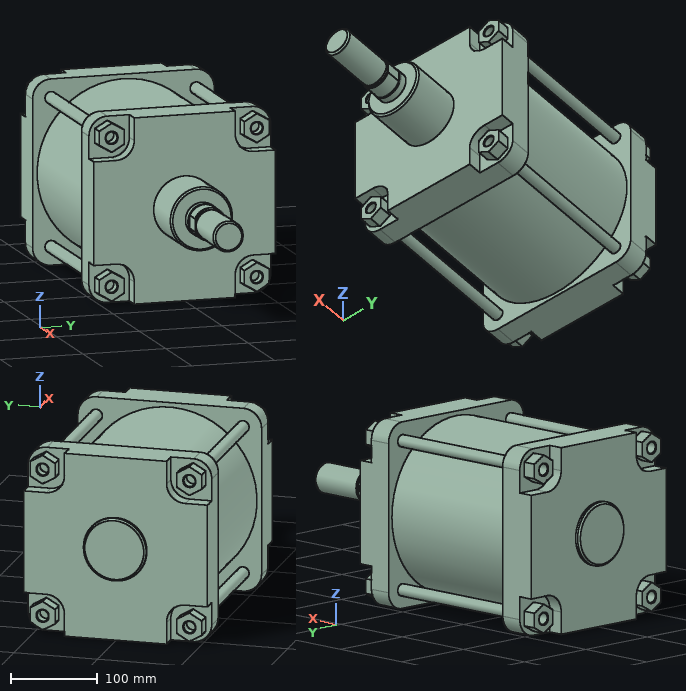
import cadquery as cq
import math


CAP_SIZE = 220.0
CAP_THICKNESS = 46.5
REAR_CAP_X = 5.5
TIE_ROD_OFFSET = 88.0
CORNER_RADIUS = CAP_SIZE / 2 - TIE_ROD_OFFSET

POCKET_DEPTH = 18.5
POCKET_SIZE = 49.0
POCKET_RADIUS = 22.0

BARREL_RADIUS = 104.5
BARREL_LENGTH = 186.5
BARREL_X = REAR_CAP_X + CAP_THICKNESS
FRONT_CAP_X = BARREL_X + BARREL_LENGTH
FRONT_FACE_X = FRONT_CAP_X + CAP_THICKNESS

BOSS_RADIUS = 37.5
BOSS_CHAMFER = 2.3
BOSS_END_X = 351.0

TIE_ROD_RADIUS = 7.2
NUT_ACROSS_FLATS = 30.0
NUT_THICKNESS = 16.8
NUT_HOLE_RADIUS = 7.0
NUT_HOLE_DEPTH = 13.5
NUT_HOLE_CHAMFER = 1.0

ROD_END_X = 453.0
ROD_RADIUS = 20.0
SHANK_END_X = 361.5
SHANK_CHAMFER_LENGTH = 1.5
FLATS_RADIUS = 19.5
FLATS_END_X = 381.0
FLATS_WIDTH = 36.0
THREAD_START_X = 383.5
THREAD_RADIUS = 18.0
THREAD_START_CHAMFER = 1.0
THREAD_END_CHAMFER = 2.3
RELIEF_RADIUS = 17.0


def cylinder_x(start_x, end_x, radius):
    """Solid cylinder on the X axis."""
    return cq.Workplane("YZ", origin=(start_x, 0, 0)).circle(radius).extrude(end_x - start_x)


def make_cap(inner_x, outer_x):
    """Square cap with rounded corners, tie rod holes and nut pockets in its outer face."""
    outward = 1 if outer_x > inner_x else -1
    cap = (
        cq.Workplane("YZ", origin=(inner_x, 0, 0))
        .rect(CAP_SIZE, CAP_SIZE)
        .extrude(outer_x - inner_x)
        .edges("|X")
        .fillet(CORNER_RADIUS)
    )
    pockets = (
        cq.Workplane("YZ", origin=(outer_x, 0, 0))
        .rect(CAP_SIZE, CAP_SIZE, forConstruction=True)
        .vertices()
        .rect(2 * POCKET_SIZE, 2 * POCKET_SIZE)
        .extrude(-outward * POCKET_DEPTH)
        .edges("|X")
        .fillet(POCKET_RADIUS)
    )
    holes = (
        cq.Workplane("YZ", origin=(inner_x, 0, 0))
        .rect(2 * TIE_ROD_OFFSET, 2 * TIE_ROD_OFFSET, forConstruction=True)
        .vertices()
        .circle(TIE_ROD_RADIUS)
        .extrude(outer_x - inner_x)
    )
    return cap.cut(pockets).cut(holes)


def make_rear_cap():
    spigot = cylinder_x(0, REAR_CAP_X, BOSS_RADIUS).faces("<X").chamfer(BOSS_CHAMFER)
    return make_cap(BARREL_X, REAR_CAP_X).union(spigot)


def make_front_cap():
    boss = cylinder_x(FRONT_FACE_X, BOSS_END_X, BOSS_RADIUS).faces(">X").chamfer(BOSS_CHAMFER)
    rod_bore = cylinder_x(FRONT_CAP_X, BOSS_END_X, ROD_RADIUS)
    return make_cap(FRONT_CAP_X, FRONT_FACE_X).union(boss).cut(rod_bore)


def make_barrel():
    return cylinder_x(BARREL_X, FRONT_CAP_X, BARREL_RADIUS)


def make_nut(seat_x, direction):
    """Hexagon nut standing on seat_x, with two corners on its Z line."""
    across_corners = 2 * NUT_ACROSS_FLATS / math.sqrt(3)
    return (
        cq.Workplane("YZ", origin=(seat_x, 0, 0))
        .polygon(6, across_corners)
        .extrude(direction * NUT_THICKNESS)
        .rotate((0, 0, 0), (1, 0, 0), 90)
    )


def make_nut_hole(end_x, direction):
    """Blind hole with a chamfered mouth, sunk into the outer face of a nut."""
    mouth_radius = NUT_HOLE_RADIUS + NUT_HOLE_CHAMFER
    return (
        cq.Workplane("XY")
        .moveTo(end_x, 0)
        .lineTo(end_x, mouth_radius)
        .lineTo(end_x - direction * NUT_HOLE_CHAMFER, NUT_HOLE_RADIUS)
        .lineTo(end_x - direction * NUT_HOLE_DEPTH, NUT_HOLE_RADIUS)
        .lineTo(end_x - direction * NUT_HOLE_DEPTH, 0)
        .close()
        .revolve(360, (0, 0, 0), (1, 0, 0))
    )


def make_tie_rod(side_y, side_z):
    """Tie rod with a nut at each end, in the corner given by the signs of Y and Z."""
    rear_seat_x = REAR_CAP_X + POCKET_DEPTH
    front_seat_x = FRONT_FACE_X - POCKET_DEPTH
    tie_rod = cylinder_x(rear_seat_x, front_seat_x, TIE_ROD_RADIUS)
    for seat_x, direction in ((rear_seat_x, -1), (front_seat_x, 1)):
        tie_rod = tie_rod.union(make_nut(seat_x, direction))
        tie_rod = tie_rod.cut(make_nut_hole(seat_x + direction * NUT_THICKNESS, direction))
    return tie_rod.translate((0, side_y * TIE_ROD_OFFSET, side_z * TIE_ROD_OFFSET))


def make_shank():
    """Sliding part of the rod, tapering at its end to the slightly thinner wrench section."""
    return (
        cylinder_x(FRONT_CAP_X, SHANK_END_X, ROD_RADIUS)
        .faces(">X")
        .chamfer(SHANK_CHAMFER_LENGTH, ROD_RADIUS - FLATS_RADIUS)
    )


def make_wrench_section():
    """Round section with two flats facing +Y and -Y."""
    slab = cq.Workplane("YZ", origin=(SHANK_END_X, 0, 0)).rect(FLATS_WIDTH, 2 * ROD_RADIUS)
    return cylinder_x(SHANK_END_X, FLATS_END_X, FLATS_RADIUS).intersect(slab.extrude(FLATS_END_X - SHANK_END_X))


def make_thread():
    """Plain cylinder at the thread's outer diameter, chamfered at both ends."""
    return (
        cylinder_x(THREAD_START_X, ROD_END_X, THREAD_RADIUS)
        .faces("<X")
        .chamfer(THREAD_START_CHAMFER)
        .faces(">X")
        .chamfer(THREAD_END_CHAMFER)
    )


def make_piston_rod():
    """Rod through the front cap, with a wrench section, a thread relief and a thread."""
    relief = cylinder_x(FLATS_END_X, THREAD_START_X, RELIEF_RADIUS)
    return make_shank().union(make_wrench_section()).union(relief).union(make_thread())


rear_cap = make_rear_cap()
barrel = make_barrel()
front_cap = make_front_cap()
piston_rod = make_piston_rod()
tie_rods = [make_tie_rod(side_y, side_z) for side_y in (-1, 1) for side_z in (-1, 1)]

bodies = [rear_cap, barrel, front_cap, piston_rod, *tie_rods]
result = cq.Compound.makeCompound([body.solids().val() for body in bodies])